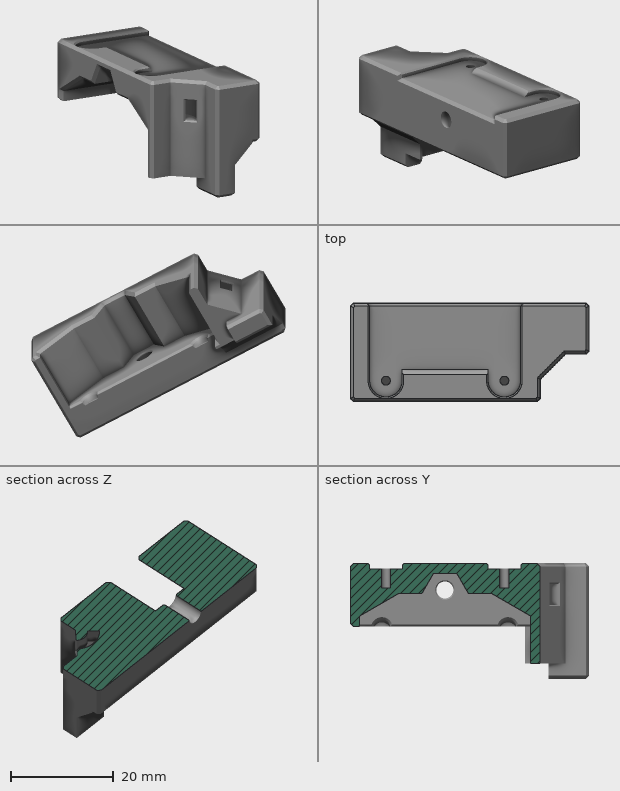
import cadquery as cq
import math

length = 46.5
width = 19.15
block_height = 12.3
leg_height = 19.5
full_height = 22.5
edge_chamfer = 0.6
small_chamfer = 0.4

front_length = 37.0
step_depth = 9.2
diagonal_run = 4.9

column_x = 34.05
column_front_y = 12.8
leg_back_y = 13.35
tab_x = 38.6
gusset_run = 3.9

center_x = 18.45

arch_half_width = 16.6
arch_top_half_width = 2.25
arch_top_z = -1.95
arch_ledge_z = -5.9
arch_ledge_outer = 9.05
lower_slope = math.radians(30)
upper_slope = math.radians(60)
cavity_depth = column_front_y - small_chamfer

through_diameter = 3.3
through_z = -5.2
through_chamfer = 0.25

bore_diameter = 3.4
bore_spacing = 24.55
bore_z = -12.6
bore_depth = 0.75
bore_drop = 0.6

recess_depth = 1.0
recess_chamfer = 0.3
rim_angle = 45
lobe_radius = 3.15
lobe_spacing = 23.05
lobe_y = 4.05
pin_hole_diameter = 1.7
pin_hole_depth = 3.7
tongue_y = 6.25

channel_inner_diameter = 4.9
channel_width = 2.25
channel_height = 4.05
channel_chamfer = 0.3
channel_turn = 90
channel_top_z = -4.05
channel_center_offset = 0.33


def chamfered_prism(height):
    """Plan outline extruded downwards, with its outer edges chamfered."""
    diagonal_x = front_length + diagonal_run
    prism = (
        cq.Workplane("XY")
        .moveTo(0, 0)
        .lineTo(front_length, 0)
        .lineTo(front_length, step_depth - diagonal_run)
        .lineTo(diagonal_x, step_depth)
        .lineTo(length, step_depth)
        .lineTo(length, width)
        .lineTo(0, width)
        .close()
        .extrude(-height)
    )
    for x, y in [(0, 0), (front_length, 0), (length, step_depth), (length, width), (0, width)]:
        corner = cq.selectors.NearestToPointSelector((x, y, -height / 2))
        prism = prism.edges(corner).chamfer(edge_chamfer)
    return prism.faces("<Z or >Z").edges().chamfer(edge_chamfer)


def leg():
    """Right leg with its hanging tab and the 45 degree gusset behind it."""
    side = (
        cq.Workplane("YZ", origin=(column_x, 0, 0))
        .moveTo(0, -edge_chamfer)
        .lineTo(0, -leg_height)
        .lineTo(step_depth, -leg_height)
        .lineTo(step_depth, -full_height + edge_chamfer)
        .lineTo(step_depth + edge_chamfer, -full_height)
        .lineTo(leg_back_y - edge_chamfer, -full_height)
        .lineTo(leg_back_y, -full_height + edge_chamfer)
        .lineTo(leg_back_y, -block_height - gusset_run)
        .lineTo(leg_back_y + gusset_run, -block_height)
        .lineTo(leg_back_y + gusset_run, -edge_chamfer)
        .close()
        .extrude(length - column_x)
    )
    beside_tab = cq.Workplane("XY", origin=(0, 0, -full_height)).box(
        tab_x, width, full_height - leg_height, centered=False
    )
    return chamfered_prism(full_height).intersect(side).cut(beside_tab)


def arch_outline(y, offset):
    """Arch profile at depth y, grown outwards by the offset."""
    def shift(slope):
        """Sideways move of a mitred corner whose edges differ by this slope."""
        return offset * math.tan(slope / 2)

    lower_run = arch_half_width - arch_ledge_outer
    knee_half_width = arch_top_half_width + (arch_top_z - arch_ledge_z) / math.tan(upper_slope)
    spring_z = arch_ledge_z - lower_run * math.tan(lower_slope)
    half = [
        (arch_top_half_width + shift(upper_slope), arch_top_z + offset),
        (knee_half_width + shift(upper_slope), arch_ledge_z + offset),
        (arch_ledge_outer + shift(lower_slope), arch_ledge_z + offset),
        (arch_half_width + offset, spring_z + shift(math.pi / 2 - lower_slope)),
        (arch_half_width + offset, -full_height),
    ]
    points = [(center_x + dx, z) for dx, z in half]
    points += [(center_x - dx, z) for dx, z in reversed(half)]
    return cq.Workplane("XZ", origin=(0, y, 0)).polyline(points).close()


def arch_cavity():
    """Deep arched cavity with a chamfered mouth and a chamfered lower back edge."""
    deep = arch_outline(0, 0).extrude(-cavity_depth)
    wires = [arch_outline(0, edge_chamfer).val(), arch_outline(edge_chamfer, 0).val()]
    mouth = cq.Workplane(cq.Solid.makeLoft(wires, True))
    back_edge = (
        cq.Workplane("YZ", origin=(center_x - arch_half_width, 0, 0))
        .moveTo(cavity_depth, -block_height)
        .lineTo(cavity_depth, -block_height + small_chamfer)
        .lineTo(column_front_y, -block_height)
        .lineTo(column_front_y, -full_height)
        .lineTo(cavity_depth, -full_height)
        .close()
        .extrude(2 * arch_half_width)
    )
    return deep.union(mouth).union(back_edge)


def through_hole():
    """Hole through the back wall, chamfered where it leaves the cavity."""
    plane = cq.Workplane("XZ", origin=(center_x, cavity_depth, through_z))
    hole = plane.circle(through_diameter / 2).extrude(-(width - cavity_depth))
    chamfer = (
        plane.circle(through_diameter / 2 + through_chamfer)
        .workplane(offset=-through_chamfer)
        .circle(through_diameter / 2)
        .loft()
    )
    return hole.union(chamfer)


def inclined_bores():
    """Blind bores that sink towards the back, with a chamfered mouth."""
    bores = cq.Workplane("XY")
    radius = bore_diameter / 2
    for side in (-1, 1):
        plane = cq.Workplane("XZ", origin=(center_x + side * bore_spacing / 2, cavity_depth, bore_z))
        mouth = plane.circle(radius + small_chamfer).workplane(offset=-small_chamfer)
        mouth = mouth.circle(radius).loft()
        bore = plane.workplane(offset=-small_chamfer).circle(radius)
        bore = bore.workplane(offset=-bore_depth).center(0, -bore_drop).circle(radius).loft()
        bores = bores.union(bore).union(mouth)
    return bores


def lobe(x, radius, depth, taper=0):
    """Round-ended slot running from its lobe centre out through the back."""
    reach = width - lobe_y + 2 * edge_chamfer
    return (
        cq.Workplane("XY", origin=(x, lobe_y, 0))
        .moveTo(-radius, reach)
        .lineTo(-radius, 0)
        .threePointArc((0, -radius), (radius, 0))
        .lineTo(radius, reach)
        .close()
        .extrude(-depth, taper=taper)
    )


def top_recess():
    """Twin-lobed recess open to the back, with a sloped tongue and blind pin holes."""
    left_x = center_x - lobe_spacing / 2
    recess = (
        cq.Workplane("YZ", origin=(left_x, 0, 0))
        .moveTo(tongue_y - recess_depth, 0)
        .lineTo(tongue_y, -recess_depth)
        .lineTo(width, -recess_depth)
        .lineTo(width, 0)
        .close()
        .extrude(lobe_spacing)
    )
    for x in (left_x, left_x + lobe_spacing):
        pin_hole = cq.Workplane("XY", origin=(x, lobe_y, 0)).circle(pin_hole_diameter / 2)
        recess = recess.union(lobe(x, lobe_radius, recess_depth))
        recess = recess.union(lobe(x, lobe_radius + recess_chamfer, recess_chamfer, taper=rim_angle))
        recess = recess.union(pin_hole.extrude(-recess_depth - pin_hole_depth))
    mouth_half = lobe_spacing / 2 + lobe_radius
    mouth_height = 2 * recess_depth
    back_mouth = (
        cq.Workplane("XZ", origin=(center_x, width, 0))
        .rect(2 * (mouth_half + edge_chamfer), mouth_height + 2 * edge_chamfer)
        .workplane(offset=edge_chamfer)
        .rect(2 * mouth_half, mouth_height)
        .loft()
    )
    return recess.union(back_mouth)


def curved_channel():
    """Ring-shaped quarter turn channel starting square to the 45 degree face."""
    inner_radius = channel_inner_diameter / 2
    center_y = step_depth - diagonal_run + channel_center_offset
    middle_radius = inner_radius + channel_width / 2
    start = middle_radius * math.sqrt(0.5)
    axis_x = front_length + channel_center_offset
    middle_z = channel_top_z - channel_height / 2
    diagonal = cq.Plane(
        origin=(axis_x + start, center_y + start, middle_z), xDir=(1, 1, 0), normal=(1, -1, 0)
    )
    face = cq.Workplane(diagonal)
    channel = face.rect(channel_width, channel_height).revolve(
        channel_turn, (-middle_radius, -0.45), (-middle_radius, 0.45)
    )
    mouth = (
        face.rect(channel_width + 2 * channel_chamfer, channel_height + 2 * channel_chamfer)
        .workplane(offset=-channel_chamfer)
        .rect(channel_width, channel_height)
        .loft()
    )
    return channel.union(mouth)


result = (
    chamfered_prism(block_height)
    .union(leg())
    .cut(arch_cavity())
    .cut(through_hole())
    .cut(inclined_bores())
    .cut(top_recess())
    .cut(curved_channel())
)